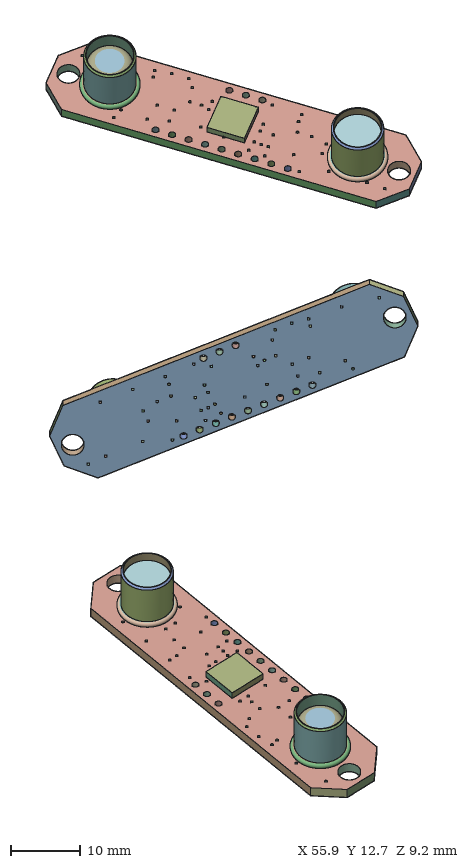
import cadquery as cq

board_length = 55.9
board_width = 12.7
board_thickness = 1.7
corner_cut = 3.75

mount_hole_diameter = 3.3
mount_hole_x = 25.4

pin_hole_diameter = 1.0
pin_row_y = 5.15
front_row_count = 9
back_row_count = 3
front_row_span = 20.35
pin_pitch = front_row_span / (front_row_count - 1)

via_diameter = 0.38
via_centres = [
    (-24.65, 3.8), (-19.05, 4.65), (-13.9, 4.8), (-11.4, 5.15), (-8.8, 5.15), (-13.7, 3.65), (-7.75, 3.8),
    (-16.1, -3.45), (-16.6, -5.1), (-11.95, -3.75), (-11.45, -0.9), (-8.85, -0.9), (-8.85, -2.95),
    (-7.2, 1.3), (-5.4, 1.3),
    (-4.2, 2.45), (-4.2, 0.9), (-4.2, -2.4), (-0.45, -2.95),
    (4.2, 4.8), (2.0, 3.45), (4.15, 1.1), (4.15, -0.15), (6.15, -0.15),
    (3.95, -2.3), (5.1, -2.4), (6.2, -2.4), (3.75, -3.95), (6.25, -4.15),
    (8.8, 4.65), (8.8, 3.3), (9.3, 1.45), (11.45, 1.45), (10.1, -2.5), (11.9, -5.1),
    (13.9, 4.65), (13.9, 0.9), (13.9, -0.9), (19.05, 4.65), (15.9, -3.6), (21.8, -3.6), (24.6, -3.75),
]

chip_length = 5.75
chip_width = 5.9
chip_height = 1.1
chip_x = -0.15

overall_height = 9.2
can_x = 19.05
can_diameter = 7.6
can_height = overall_height - board_thickness
rim_chamfer = 0.3
flange_diameter = 8.8
flange_height = 0.8
recess_diameter = 6.9
recess_depth = 1.45
dome_round = 1.3
flat_floor_round = 0


def make_board():
    """Plate with cut corners and all its through holes, carrying the chip block on top."""
    plate = (
        cq.Workplane("XY")
        .box(board_length, board_width, board_thickness, centered=(True, True, False))
        .edges("|Z")
        .chamfer(corner_cut)
    )
    plate = cut_holes(plate, [(-mount_hole_x, 0), (mount_hole_x, 0)], mount_hole_diameter)
    pin_centres = pin_row(front_row_count, -pin_row_y) + pin_row(back_row_count, pin_row_y)
    plate = cut_holes(plate, pin_centres, pin_hole_diameter)
    plate = cut_holes(plate, via_centres, via_diameter)
    chip = (
        cq.Workplane("XY", origin=(chip_x, 0, board_thickness))
        .box(chip_length, chip_width, chip_height, centered=(True, True, False))
    )
    return plate.union(chip)


def pin_row(count, y):
    """Centres of a row of pin holes, spread evenly about X = 0."""
    return [((i - (count - 1) / 2) * pin_pitch, y) for i in range(count)]


def cut_holes(plate, centres, diameter):
    """Drill round holes through the full board thickness."""
    drills = cq.Workplane("XY").pushPoints(centres).circle(diameter / 2).extrude(board_thickness)
    return plate.cut(drills)


def make_can(x, shoulder_radius):
    """Flanged can with a recessed top; the recess floor rounds down to the wall by the shoulder radius."""
    base = cq.Workplane("XY", origin=(x, 0, board_thickness))
    barrel = base.circle(can_diameter / 2).extrude(can_height).faces(">Z").edges().chamfer(rim_chamfer)
    recess_radius = recess_diameter / 2
    recess_bottom = can_height - recess_depth - shoulder_radius
    recess = base.workplane(offset=recess_bottom).circle(recess_radius).extrude(can_height - recess_bottom)
    can = make_flange(x).union(barrel).cut(recess)
    if shoulder_radius > 0:
        dome = base.circle(recess_radius).extrude(recess_bottom + shoulder_radius)
        can = can.union(dome.faces(">Z").edges().fillet(shoulder_radius))
    return can


def make_flange(x):
    """Disc whose rim is a full half round."""
    rim_radius = flange_diameter / 2
    flat_radius = rim_radius - flange_height / 2
    return (
        cq.Workplane("XZ", origin=(x, 0, board_thickness))
        .lineTo(flat_radius, 0)
        .threePointArc((rim_radius, flange_height / 2), (flat_radius, flange_height))
        .lineTo(0, flange_height)
        .close()
        .revolve(360, (0, 0), (0, 1))
    )


board = make_board()
domed_can = make_can(-can_x, dome_round)
flat_can = make_can(can_x, flat_floor_round)

result = cq.Compound.makeCompound([board.val(), domed_can.val(), flat_can.val()])